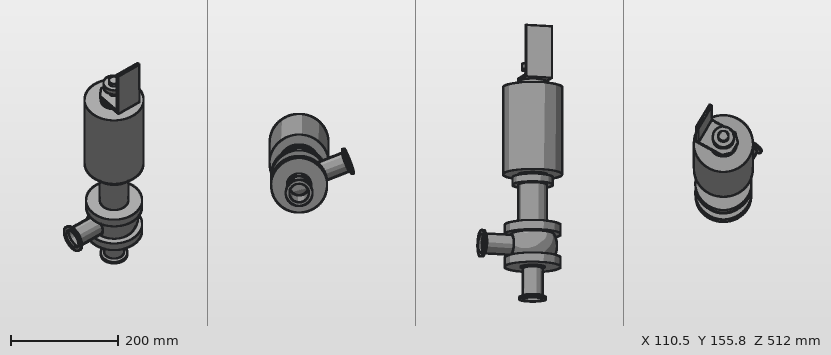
import cadquery as cq

total_height = 512.0

pipe_diameter = 38.0
bore_diameter = 36.0
ferrule_diameter = 50.0
ferrule_rim = 3.5
ferrule_taper = 3.0
branch_reach = 100.5

ball_diameter = 91.5
flange_diameter = 105.0
flange_thickness = 17.5
lower_flange_bottom = 61.5
upper_flange_top = 141.0
ball_height = (lower_flange_bottom + upper_flange_top) / 2

bonnet_diameter = 54.0
ring_diameter = 76.0
ring_bottom = 217.0
ring_thickness = 14.5

actuator_diameter = 110.5
actuator_bottom = 237.0
actuator_top = 402.5
collar_lower_diameter = 50.5
collar_upper_diameter = 50.0
collar_step = 406.5

bracket_bottom = 414.0
bracket_thickness = 5.0
bracket_width = 50.0
bracket_left = -bracket_width / 2
bracket_right = 44.0
bracket_chamfer = 14.0
bracket_top = bracket_bottom + bracket_thickness

neck_diameter = 16.0
knob_diameter = 40.0
knob_bottom = 435.5
knob_top = 446.5
stem_tip_diameter = 19.5
stem_top = 453.0


def disc(diameter, bottom, top):
    """Round cylinder on the main axis between two heights."""
    return cq.Workplane("XY").workplane(offset=bottom).circle(diameter / 2).extrude(top - bottom)


def ball():
    return cq.Workplane("XY").sphere(ball_diameter / 2).translate((0, 0, ball_height))


def ferrule_pipe(length):
    """Pipe along +Z with its ferrule end at the origin."""
    rim_radius = ferrule_diameter / 2
    pipe_radius = pipe_diameter / 2
    return (
        cq.Workplane("XZ")
        .moveTo(0, 0)
        .lineTo(rim_radius, 0)
        .lineTo(rim_radius, ferrule_rim)
        .lineTo(pipe_radius, ferrule_rim + ferrule_taper)
        .lineTo(pipe_radius, length)
        .lineTo(0, length)
        .close()
        .revolve(360, (0, 0, 0), (0, 1, 0))
    )


def pipe_bore(length):
    """Bore along +Z from the ferrule end at the origin."""
    return cq.Workplane("XY").circle(bore_diameter / 2).extrude(length)


def to_branch(shape):
    """Move a shape from the +Z direction at the origin to the side branch, which opens toward -Y."""
    branch_mouth = (0, -branch_reach, ball_height)
    return shape.rotate((0, 0, 0), (1, 0, 0), -90).translate(branch_mouth)


def make_valve():
    """Valve chamber, pipes, bonnet, actuator and stem; both bores end on the ball."""
    valve = ferrule_pipe(ball_height)
    valve = valve.union(to_branch(ferrule_pipe(branch_reach)))
    for bottom in (lower_flange_bottom, upper_flange_top - flange_thickness):
        valve = valve.union(disc(flange_diameter, bottom, bottom + flange_thickness))
    valve = valve.cut(pipe_bore(ball_height))
    valve = valve.cut(to_branch(pipe_bore(branch_reach)))
    valve = valve.union(ball())

    upper_discs = [
        (bonnet_diameter, ball_height, actuator_bottom),
        (ring_diameter, ring_bottom, ring_bottom + ring_thickness),
        (actuator_diameter, actuator_bottom, actuator_top),
        (collar_lower_diameter, actuator_top, collar_step),
        (collar_upper_diameter, collar_step, bracket_bottom),
        (neck_diameter, bracket_bottom, knob_bottom),
        (knob_diameter, knob_bottom, knob_top),
        (stem_tip_diameter, knob_top, stem_top),
    ]
    for diameter, bottom, top in upper_discs:
        valve = valve.union(disc(diameter, bottom, top))
    return valve


def make_bracket():
    """L-shaped plate with two cut corners and a hole that fits the stem neck."""
    foot = (
        cq.Workplane("XY")
        .workplane(offset=bracket_bottom)
        .center((bracket_left + bracket_right) / 2, 0)
        .rect(bracket_right - bracket_left, bracket_width)
        .extrude(bracket_thickness)
        .edges("|Z and <X")
        .chamfer(bracket_chamfer)
    )
    upright = cq.Workplane("XY").box(
        bracket_thickness, bracket_width, total_height - bracket_bottom, centered=(False, True, False)
    ).translate((bracket_right - bracket_thickness, 0, bracket_bottom))
    stem_hole = disc(neck_diameter, bracket_bottom, bracket_top)
    return foot.union(upright).cut(stem_hole)


valve = make_valve()
bracket = make_bracket()
result = cq.Compound.makeCompound([valve.val(), bracket.val()])